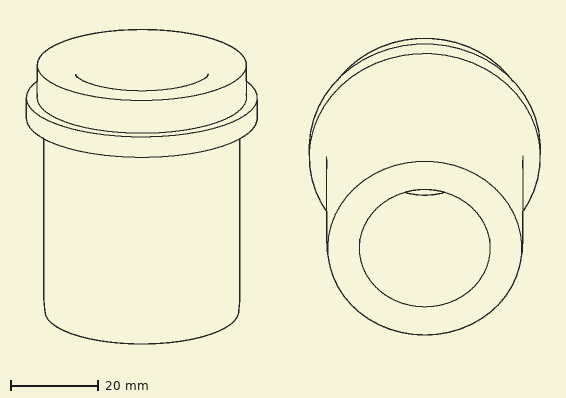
import cadquery as cq
import math

total_height = 60.0
head_diameter = 48.0
head_height = 8.0
flange_diameter = 53.0
flange_height = 5.0
body_diameter = 45.0
bore_diameter = 30.0
bore_mouth_radius = 3.0
lead_in_height = 3.0
lead_in_angle = 5.0
shoulder_fillet = 1.0

head_radius = head_diameter / 2
flange_radius = flange_diameter / 2
body_radius = body_diameter / 2
bore_radius = bore_diameter / 2
lead_in_radius = body_radius - lead_in_height * math.tan(math.radians(lead_in_angle))
flange_top = total_height - head_height
flange_bottom = flange_top - flange_height

arc_inset = 1 - math.sqrt(0.5)
fillet_mid = (body_radius + arc_inset * shoulder_fillet, flange_bottom - arc_inset * shoulder_fillet)
mouth_mid = (bore_radius + arc_inset * bore_mouth_radius, total_height - arc_inset * bore_mouth_radius)

section = (
    cq.Workplane("XZ")
    .moveTo(bore_radius, 0)
    .lineTo(lead_in_radius, 0)
    .lineTo(body_radius, lead_in_height)
    .lineTo(body_radius, flange_bottom - shoulder_fillet)
    .threePointArc(fillet_mid, (body_radius + shoulder_fillet, flange_bottom))
    .lineTo(flange_radius, flange_bottom)
    .lineTo(flange_radius, flange_top)
    .lineTo(head_radius, flange_top)
    .lineTo(head_radius, total_height)
    .lineTo(bore_radius + bore_mouth_radius, total_height)
    .threePointArc(mouth_mid, (bore_radius, total_height - bore_mouth_radius))
    .close()
)

result = section.revolve(360, (0, 0, 0), (0, 1, 0))